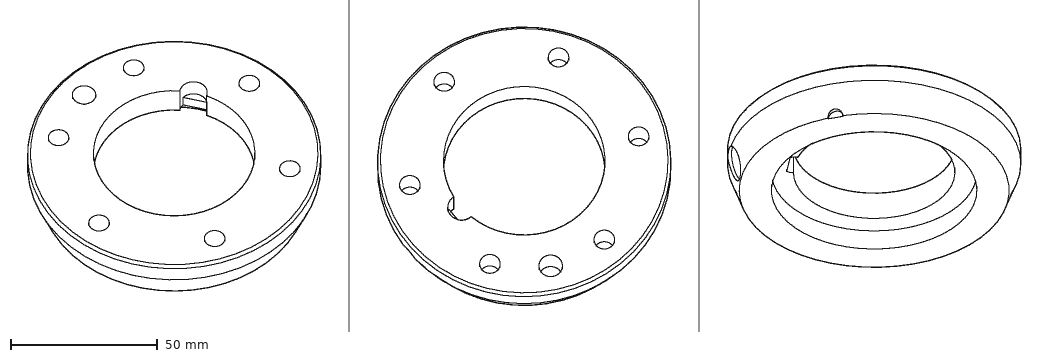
import cadquery as cq
import math

outer_radius = 50.0
height = 18.0
top_chamfer = 1.0
taper_height = 11.0
taper_angle = 20.0
bottom_radius = outer_radius - taper_height * math.tan(math.radians(taper_angle))

bore_radius = 27.5
counterbore_radius = 35.0
counterbore_depth = 7.5

hole_circle_radius = 40.0
hole_depth = 10.0
bolt_hole_diameter = 7.0
bolt_hole_count = 6
first_bolt_angle = 30.0
pin_hole_diameter = 8.0
pin_hole_angle = 180.0

notch_angle = 116.0
notch_radius = 4.7
notch_center_radius = bore_radius
notch_floor_height = 11.5
notch_flat_distance = 29.6

recess_angle = 115.0
recess_radius = 6.0
recess_depth = 1.5
recess_height = 6.3
recess_clearance = 5.0

mark_radius = 2.6
mark_depth = 0.5


def polar_point(radius, angle):
    turn = math.radians(angle)
    return radius * math.cos(turn), radius * math.sin(turn)


def make_ring():
    profile = (
        cq.Workplane("XZ")
        .moveTo(-bore_radius, height)
        .lineTo(top_chamfer - outer_radius, height)
        .lineTo(-outer_radius, height - top_chamfer)
        .lineTo(-outer_radius, taper_height)
        .lineTo(-bottom_radius, 0)
        .lineTo(-counterbore_radius, 0)
        .lineTo(-counterbore_radius, counterbore_depth)
        .lineTo(-bore_radius, counterbore_depth)
        .close()
    )
    return profile.revolve(360, (0, 0, 0), (0, 1, 0))


def make_top_hole(diameter, angle):
    x, y = polar_point(hole_circle_radius, angle)
    floor = cq.Workplane("XY", origin=(x, y, height - hole_depth))
    return floor.circle(diameter / 2).extrude(hole_depth)


def make_notch():
    """Round notch whose lower part stops at a flat facing the bore axis."""
    center = polar_point(notch_center_radius, notch_angle)
    full_notch = (
        cq.Workplane("XY", origin=(0, 0, counterbore_depth))
        .center(*center)
        .circle(notch_radius)
        .extrude(height - counterbore_depth)
    )
    step = (
        cq.Workplane("XY")
        .box(outer_radius, outer_radius, notch_floor_height, centered=(False, True, False))
        .translate((notch_flat_distance, 0, 0))
        .rotate((0, 0, 0), (0, 0, 1), recess_angle)
    )
    return full_notch.cut(step)


def make_side_recess():
    """Disc-shaped recess with its axis normal to the tapered side."""
    slope = math.radians(taper_angle)
    outward = cq.Vector(math.cos(slope), 0, -math.sin(slope))
    surface_radius = bottom_radius + recess_height * math.tan(slope)
    floor_center = cq.Vector(surface_radius, 0, recess_height) - outward * recess_depth
    floor = cq.Workplane(cq.Plane(origin=floor_center, xDir=(0, 1, 0), normal=outward))
    recess = floor.circle(recess_radius).extrude(recess_depth + recess_clearance)
    return recess.rotate((0, 0, 0), (0, 0, 1), recess_angle)


def make_edge_mark():
    start = cq.Workplane("YZ", origin=(-outer_radius, 0, 0))
    return start.circle(mark_radius).extrude(outer_radius - bottom_radius + mark_depth)


result = make_ring()
for index in range(bolt_hole_count):
    bolt_angle = first_bolt_angle + index * 360 / bolt_hole_count
    result = result.cut(make_top_hole(bolt_hole_diameter, bolt_angle))
result = result.cut(make_top_hole(pin_hole_diameter, pin_hole_angle))
result = result.cut(make_notch())
result = result.cut(make_side_recess())
result = result.cut(make_edge_mark())